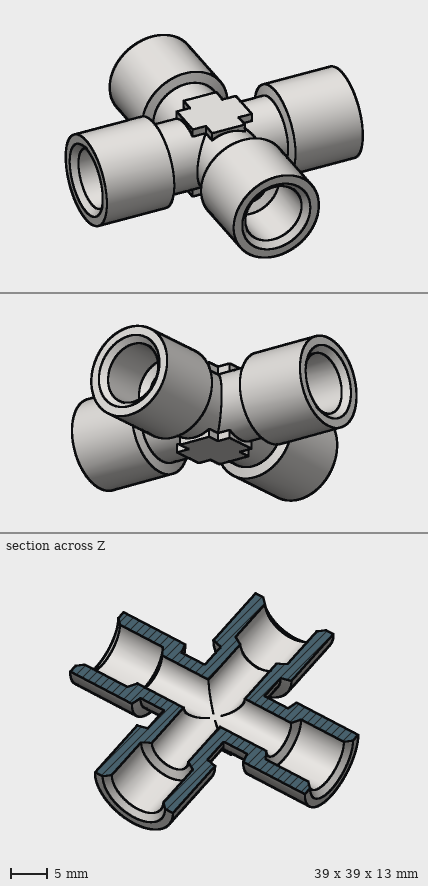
import cadquery as cq
import math

span = 39.0
half_span = span / 2

socket_radius = 13.0 / 2
socket_length = 10.27
tube_radius = 10.0 / 2
shoulder_angle = 15.0
shoulder_length = (socket_radius - tube_radius) * math.tan(math.radians(shoulder_angle))

passage_radius = 6.0 / 2
thread_radius = 8.566 / 2
thread_depth = 8.0
mouth_depth = 0.9
mouth_radius = thread_radius + mouth_depth
drill_tip_angle = 118.0
drill_tip_length = (thread_radius - passage_radius) / math.tan(math.radians(drill_tip_angle / 2))

hub_span = 9.0
hub_arm_width = 5.0
hub_height = 11.0

ARM_ANGLES = (0, 90, 180, 270)


def revolve_about_x(profile):
    """Turn a closed (x, radius) profile a full circle around the X axis."""
    return cq.Workplane("XY").polyline(profile).close().revolve(360, (0, 0, 0), (1, 0, 0))


def around_centre(arm):
    """Join copies of a +X arm turned to all four directions."""
    joined = cq.Workplane("XY")
    for angle in ARM_ANGLES:
        joined = joined.add(arm.rotate((0, 0, 0), (0, 0, 1), angle))
    return joined.combine()


def arm_body():
    """Tube from the centre outwards, with a sloped shoulder up to the socket."""
    socket_start = half_span - socket_length
    return revolve_about_x([
        (0, 0),
        (0, tube_radius),
        (socket_start - shoulder_length, tube_radius),
        (socket_start, socket_radius),
        (half_span, socket_radius),
        (half_span, 0),
    ])


def arm_hole():
    """Through passage, thread bore with a conical bottom, and countersunk mouth."""
    thread_end = half_span - thread_depth
    return revolve_about_x([
        (0, 0),
        (0, passage_radius),
        (thread_end - drill_tip_length, passage_radius),
        (thread_end, thread_radius),
        (half_span - mouth_depth, thread_radius),
        (half_span, mouth_radius),
        (half_span, 0),
    ])


def hub():
    """Two crossing bars forming the plus-shaped block, centred on the part."""
    bar_along_x = cq.Workplane("XY").box(hub_span, hub_arm_width, hub_height)
    bar_along_y = cq.Workplane("XY").box(hub_arm_width, hub_span, hub_height)
    return bar_along_x.union(bar_along_y)


result = around_centre(arm_body()).union(hub()).cut(around_centre(arm_hole()))